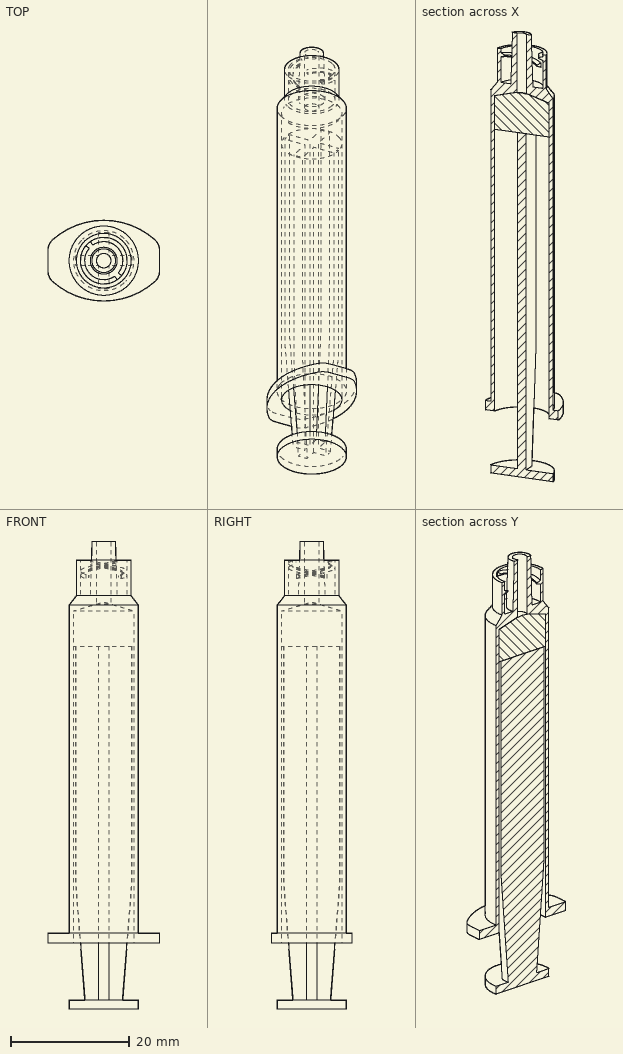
import cadquery as cq
import math


thumb_disc_thickness = 1.5
flange_bottom = 11.15
flange_thickness = 1.7
flange_top = flange_bottom + flange_thickness
barrel_length = 55.5
shoulder_height = 1.6
collar_height = 6.0
tip_top = 79.14
shoulder_bottom = flange_top + barrel_length
shoulder_top = shoulder_bottom + shoulder_height
collar_top = shoulder_top + collar_height

barrel_radius = 5.87
bore_radius = 5.1
collar_radius = 4.62
collar_inner_radius = 3.95
tip_radius = 2.0
tip_taper = 0.03
tip_base_radius = tip_radius + tip_taper * (tip_top - shoulder_top)
tip_bore_radius = 1.22

flange_length = 18.93
flange_width = 13.7
flange_arc_radius = 13.0
flange_corner_radius = 2.5

thread_starts = 2
thread_lead = 5.0
thread_crest_radius = 3.22
thread_root_width = 0.9
thread_crest_width = 0.2
thread_root_overlap = 0.2
thread_sweep_angle = 165.0
thread_top_angle = 125.0
thread_top_height = collar_top - thread_root_width / 2
thread_length = thread_lead * thread_sweep_angle / 360
thread_start_angle = thread_top_angle - thread_sweep_angle
thread_start_height = thread_top_height - thread_length

piston_length = 6.0
piston_cone_height = 1.5
piston_shoulder_depth = 1.0
piston_shoulder = shoulder_bottom - piston_shoulder_depth
piston_bottom = piston_shoulder - piston_length

thumb_disc_radius = barrel_radius
rib_thickness = 1.7
rib_bottom_radius = 3.25
rib_flange_radius = 4.0
rib_top_radius = 4.8
rib_taper = (rib_flange_radius - rib_bottom_radius) / (flange_bottom - thumb_disc_thickness)
rib_taper_top = thumb_disc_thickness + (rib_top_radius - rib_bottom_radius) / rib_taper


def cylinder(radius, bottom, top):
    return cq.Workplane("XY").workplane(offset=bottom).circle(radius).extrude(top - bottom)


def revolve_profile(points):
    """Turn a closed (radius, height) outline about the Z axis."""
    return cq.Workplane("XZ").polyline(points).close().revolve(360, (0, 0), (0, 1))


def make_flange():
    half_length = flange_length / 2
    half_width = flange_width / 2
    arc_centre = flange_arc_radius - half_width
    flat_half = math.sqrt(flange_arc_radius**2 - half_length**2) - arc_centre
    return (
        cq.Workplane("XY")
        .workplane(offset=flange_bottom)
        .moveTo(-half_length, flat_half)
        .threePointArc((0, half_width), (half_length, flat_half))
        .lineTo(half_length, -flat_half)
        .threePointArc((0, -half_width), (-half_length, -flat_half))
        .close()
        .extrude(flange_thickness)
        .edges("|Z")
        .fillet(flange_corner_radius)
    )


def make_thread(start_angle):
    """One right-hand thread ridge, with its root buried in the collar wall."""
    helix = cq.Wire.makeHelix(thread_lead, thread_length, collar_inner_radius)
    root_radius = collar_inner_radius + thread_root_overlap
    profile = cq.Workplane("XZ").polyline([
        (root_radius, -thread_root_width / 2),
        (root_radius, thread_root_width / 2),
        (thread_crest_radius, thread_crest_width / 2),
        (thread_crest_radius, -thread_crest_width / 2),
    ]).close()
    ridge = profile.sweep(cq.Workplane(obj=helix), isFrenet=True)
    return ridge.rotate((0, 0, 0), (0, 0, 1), start_angle).translate((0, 0, thread_start_height))


def make_piston():
    piston_tip = piston_shoulder + piston_cone_height
    return revolve_profile([
        (0, piston_bottom),
        (bore_radius, piston_bottom),
        (bore_radius, piston_shoulder),
        (0, piston_tip),
    ])


def make_barrel():
    outside = revolve_profile([
        (0, flange_bottom),
        (barrel_radius, flange_bottom),
        (barrel_radius, shoulder_bottom),
        (collar_radius, shoulder_top),
        (collar_radius, collar_top),
        (0, collar_top),
    ])
    tip = revolve_profile([
        (0, shoulder_top),
        (tip_base_radius, shoulder_top),
        (tip_radius, tip_top),
        (0, tip_top),
    ])
    collar_recess = cylinder(collar_inner_radius, shoulder_top, collar_top)
    barrel = outside.union(make_flange()).cut(collar_recess).union(tip)
    for start in range(thread_starts):
        barrel = barrel.union(make_thread(thread_start_angle + start * 360 / thread_starts))

    barrel = barrel.cut(cylinder(bore_radius, flange_bottom, piston_bottom))
    barrel = barrel.cut(make_piston())
    return barrel.cut(cylinder(tip_bore_radius, piston_shoulder, tip_top))


def make_plunger():
    disc = cylinder(thumb_disc_radius, 0, thumb_disc_thickness)
    rib_envelope = revolve_profile([
        (0, thumb_disc_thickness),
        (rib_bottom_radius, thumb_disc_thickness),
        (rib_top_radius, rib_taper_top),
        (rib_top_radius, piston_bottom),
        (0, piston_bottom),
    ])
    rib_height = piston_bottom - thumb_disc_thickness
    plate_base = cq.Workplane("XY").workplane(offset=thumb_disc_thickness)
    plate_x = plate_base.rect(2 * rib_top_radius, rib_thickness).extrude(rib_height)
    plate_y = plate_base.rect(rib_thickness, 2 * rib_top_radius).extrude(rib_height)
    return disc.union(plate_x.union(plate_y).intersect(rib_envelope))


barrel = make_barrel()
piston = make_piston()
plunger = make_plunger()

result = cq.Compound.makeCompound([barrel.solids().val(), piston.solids().val(), plunger.solids().val()])